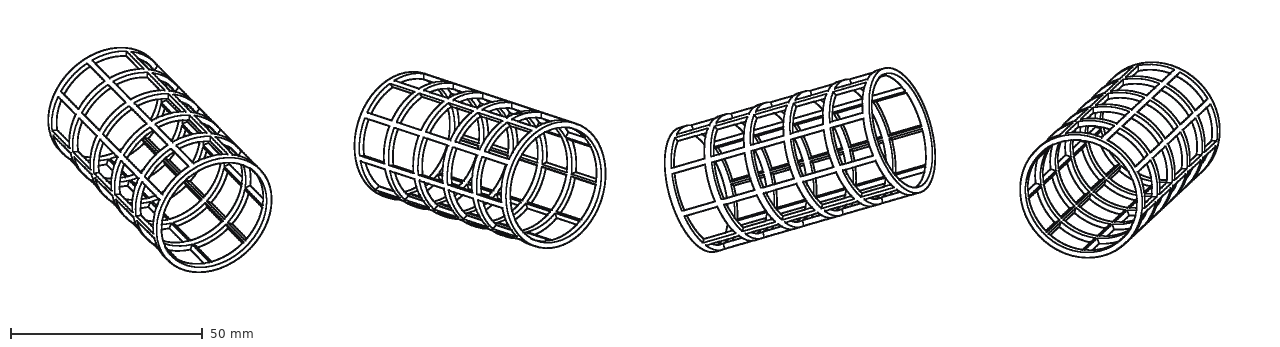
import cadquery as cq

length = 62.0
outer_diameter = 33.7
wall = 1.5
window_size = 10.0
windows_along = 5
windows_around = 9

outer_radius = outer_diameter / 2
inner_radius = outer_radius - wall
ring_width = (length - windows_along * window_size) / (windows_along + 1)
row_pitch = window_size + ring_width
angle_pitch = 360.0 / windows_around


def make_tube():
    """Plain tube along X, centred on the origin."""
    return (
        cq.Workplane("YZ")
        .circle(outer_radius)
        .circle(inner_radius)
        .extrude(length / 2, both=True)
    )


def make_window_cutters():
    """One straight row of square cutters through the +Z side of the wall."""
    return (
        cq.Workplane("XY")
        .rarray(row_pitch, 0.6, windows_along, 1)
        .rect(window_size, window_size)
        .extrude(outer_diameter)
    )


result = make_tube()
cutters = make_window_cutters()
for index in range(windows_around):
    result = result.cut(cutters.rotate((0, 0, 0), (1, 0, 0), index * angle_pitch))